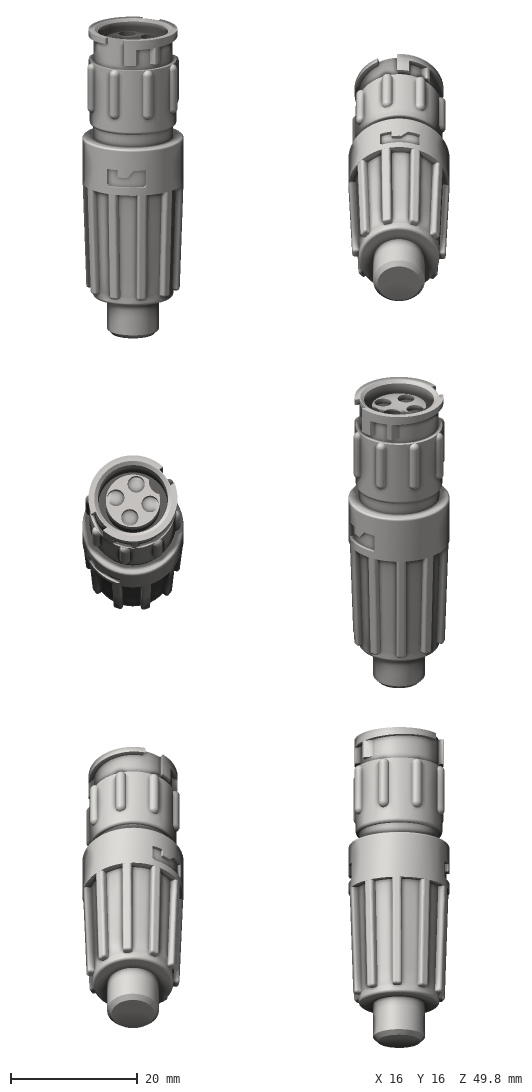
import cadquery as cq
import math

total_height = 49.8
grip_bottom_z = 6.15
collar_bottom_z = 24.7
collar_top_z = 32.25
nut_bottom_z = 34.25
nut_top_z = 44.85

tail_radius = 4.1
tail_chamfer = 0.7

grip_bottom_radius = 12.7 / 2
grip_top_radius = 6.92
grip_fillet = 0.45
grip_rib_count = 10
grip_rib_bottom_z = 7.25
grip_rib_bottom_reach = 7.35
grip_rib_top_reach = 7.95
grip_rib_width = 1.5
grip_rib_root_radius = 6.0
grip_rib_fillet = 0.4

collar_radius = 16.0 / 2
collar_fillet = 0.35

recess_floor_radius = 7.45
recess_start_angle = -6.1
recess_tab_start_angle = 7.2
recess_tab_end_angle = 18.2
recess_ramp_end_angle = 25.9
recess_end_angle = 40.4
recess_bottom_z = 25.95
recess_tab_z = 27.6
recess_top_z = 28.8
recess_corner = 0.3
recess_corner_angle = math.degrees(recess_corner / collar_radius)

neck_radius = grip_bottom_radius
nut_radius = 13.7 / 2
nut_fillet = 0.55
nut_rib_count = 8
nut_rib_radius = 0.85
nut_rib_reach = 7.6
nut_rib_low_z = 37.55
nut_rib_high_z = nut_top_z - nut_rib_radius

barrel_radius = 12.5 / 2
bore_radius = 5.55
bore_floor_z = nut_top_z
bore_mouth_radius = 12.2 / 2
bore_mouth_depth = 0.4

lip_radius = 7.0
lip_thin_z = 48.85
lip_thick_z = 48.3
keyway_width = 3.15
hook_end_x = 3.4
hook_bottom_z = 45.7
stop_face_y = 4.0
stop_corner_x = 6.05
stop_root_y = 2.2

insert_radius = 4.3
insert_top_z = 48.3
insert_key_radius = 2.15
insert_key_bottom_y = 3.5
contact_hole_radius = 1.35
contact_hole_spacing = 3.9
contact_hole_depth = 0.9


def cylinder(radius, low_z, high_z):
    return cq.Workplane("XY").workplane(offset=low_z).circle(radius).extrude(high_z - low_z)


def turn(solid, angle):
    return solid.rotate((0, 0, 0), (0, 0, 1), angle)


def with_opposite(solid):
    """Pair a solid with its copy half a turn around the axis."""
    return solid.union(turn(solid, 180))


def make_tail():
    tail = cylinder(tail_radius, 0, grip_bottom_z)
    return tail.faces("<Z").chamfer(tail_chamfer)


def grip_rib_section(reach, z):
    """Rectangle reaching out toward -Y at the given height."""
    return cq.Wire.makePolygon(
        [
            cq.Vector(-grip_rib_width / 2, -grip_rib_root_radius, z),
            cq.Vector(-grip_rib_width / 2, -reach, z),
            cq.Vector(grip_rib_width / 2, -reach, z),
            cq.Vector(grip_rib_width / 2, -grip_rib_root_radius, z),
        ],
        close=True,
    )


def make_grip():
    core = (
        cq.Workplane("XY")
        .workplane(offset=grip_bottom_z)
        .circle(grip_bottom_radius)
        .workplane(offset=collar_bottom_z - grip_bottom_z)
        .circle(grip_top_radius)
        .loft(ruled=True)
    )
    core = core.faces("<Z").edges().fillet(grip_fillet)
    rib = cq.Workplane(
        cq.Solid.makeLoft(
            [
                grip_rib_section(grip_rib_bottom_reach, grip_rib_bottom_z),
                grip_rib_section(grip_rib_top_reach, collar_bottom_z),
            ],
            True,
        )
    )
    sides_and_end = rib.faces("<X or >X or <Z")
    rib = sides_and_end.edges("not(>Y or >Z)").fillet(grip_rib_fillet)
    for index in range(grip_rib_count):
        core = core.union(turn(rib, index * 360 / grip_rib_count))
    return core


def make_recess():
    """Recess with radial side walls: its outline widens in proportion to the distance from the axis."""
    outline = [
        (recess_start_angle + recess_corner_angle, recess_bottom_z),
        (recess_end_angle - recess_corner_angle, recess_bottom_z),
        (recess_end_angle, recess_bottom_z + recess_corner),
        (recess_end_angle, recess_top_z),
        (recess_ramp_end_angle, recess_top_z),
        (recess_tab_end_angle, recess_tab_z),
        (recess_tab_start_angle, recess_tab_z),
        (recess_tab_start_angle, recess_top_z),
        (recess_start_angle, recess_top_z),
        (recess_start_angle, recess_bottom_z + recess_corner),
    ]

    def section(distance):
        points = [
            cq.Vector(distance * math.tan(math.radians(angle)), -distance, z)
            for angle, z in outline
        ]
        return cq.Wire.makePolygon(points, close=True)

    inner_distance = recess_floor_radius / 2
    outer_distance = collar_radius + recess_floor_radius / 2
    wedge = cq.Workplane(
        cq.Solid.makeLoft([section(inner_distance), section(outer_distance)], True)
    )
    return wedge.cut(cylinder(recess_floor_radius, collar_bottom_z, collar_top_z))


def make_collar():
    collar = cylinder(collar_radius, collar_bottom_z, collar_top_z)
    collar = collar.faces(">Z").edges().fillet(collar_fillet)
    return collar.cut(with_opposite(make_recess()))


def make_nut():
    nut = cylinder(nut_radius, nut_bottom_z, nut_top_z)
    nut = nut.faces("<Z").edges().fillet(nut_fillet)
    axis_radius = nut_rib_reach - nut_rib_radius
    rib = cylinder(nut_rib_radius, nut_rib_low_z, nut_rib_high_z)
    for end_z in (nut_rib_low_z, nut_rib_high_z):
        rib = rib.union(cq.Workplane("XY").sphere(nut_rib_radius).translate((0, 0, end_z)))
    rib = rib.translate((axis_radius, 0, 0))
    for index in range(nut_rib_count):
        nut = nut.union(turn(rib, index * 360 / nut_rib_count))
    return nut


def make_lip():
    """Lip whose underside slopes on each half, with a hook beside each keyway."""
    ring = cylinder(lip_radius, hook_bottom_z, total_height)
    sloped_half = (
        cq.Workplane("YZ")
        .polyline(
            [
                (-lip_radius, lip_thin_z),
                (lip_radius, lip_thick_z),
                (lip_radius, total_height),
                (-lip_radius, total_height),
            ]
        )
        .close()
        .extrude(-lip_radius)
    )
    hook = cq.Workplane("XY").box(
        hook_end_x, lip_radius, total_height - hook_bottom_z, centered=False
    )
    hook = hook.translate((0, -lip_radius, hook_bottom_z))
    lip = ring.intersect(with_opposite(sloped_half.union(hook)))
    keyway = cq.Workplane("XY").box(keyway_width, 2 * lip_radius, 2 * total_height)
    return lip.cut(keyway)


def make_stops():
    """Stops standing on the barrel below the lip, flush with its rim and sloping off on one side."""
    corner_y = math.sqrt(lip_radius**2 - stop_corner_x**2)
    face_corner_x = math.sqrt(lip_radius**2 - stop_face_y**2)
    root_x = math.sqrt(barrel_radius**2 - stop_root_y**2)
    middle_angle = (math.atan2(corner_y, stop_corner_x) + math.atan2(stop_face_y, face_corner_x)) / 2
    stop = (
        cq.Workplane("XY")
        .workplane(offset=hook_bottom_z)
        .moveTo(0, -stop_face_y)
        .lineTo(face_corner_x, -stop_face_y)
        .threePointArc(
            (lip_radius * math.cos(middle_angle), -lip_radius * math.sin(middle_angle)),
            (stop_corner_x, -corner_y),
        )
        .lineTo(root_x, -stop_root_y)
        .lineTo(0, -stop_root_y)
        .close()
        .extrude(lip_thin_z - hook_bottom_z)
    )
    return with_opposite(stop)


def make_bore():
    bore = cylinder(bore_radius, bore_floor_z, total_height)
    mouth = (
        cq.Workplane("XY")
        .workplane(offset=total_height - bore_mouth_depth)
        .circle(bore_radius)
        .workplane(offset=bore_mouth_depth)
        .circle(bore_mouth_radius)
        .loft(ruled=True)
    )
    return bore.union(mouth)


def make_insert():
    insert = cylinder(insert_radius, bore_floor_z, insert_top_z)
    key = cylinder(insert_key_radius, bore_floor_z, insert_top_z)
    key = key.translate((0, insert_key_bottom_y + insert_key_radius, 0))
    holes = (
        cq.Workplane("XY")
        .workplane(offset=insert_top_z - contact_hole_depth)
        .rarray(contact_hole_spacing, contact_hole_spacing, 2, 2)
        .circle(contact_hole_radius)
        .extrude(contact_hole_depth)
    )
    return insert.cut(key).cut(holes)


result = (
    make_tail()
    .union(make_grip())
    .union(make_collar())
    .union(cylinder(neck_radius, collar_top_z, nut_bottom_z))
    .union(make_nut())
    .union(cylinder(barrel_radius, nut_top_z, total_height))
    .union(make_lip())
    .union(make_stops())
    .cut(make_bore())
    .union(make_insert())
)